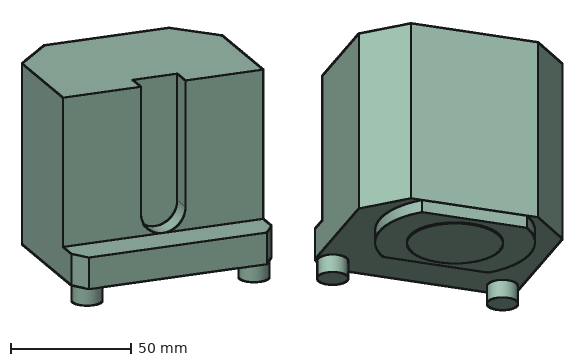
import cadquery as cq

body_length = 78.0
body_width = 90.0
body_height = 80.0
body_back = -24.0
body_front = body_back + body_length

back_corner_cut = 17.0
front_corner_length = 7.0
front_corner_width = 5.0

ledge_depth = 16.0
ledge_height = 14.0
wall_front = body_front - ledge_depth

slot_width = 20.0
slot_depth = 9.0

spigot_diameter = 66.5
spigot_height = 5.5
spigot_width_over_flats = 47.6
face_diameter = 40.0
face_height = 0.5

pin_diameter = 13.0
pin_length = 8.0
pin_x = 46.0
pin_spacing = 75.0


def make_body():
    half_width = body_width / 2
    outline = [
        (body_back, half_width - back_corner_cut),
        (body_back + back_corner_cut, half_width),
        (body_front - front_corner_length, half_width),
        (body_front, half_width - front_corner_width),
        (body_front, front_corner_width - half_width),
        (body_front - front_corner_length, -half_width),
        (body_back + back_corner_cut, -half_width),
        (body_back, back_corner_cut - half_width),
    ]
    return cq.Workplane("XY").polyline(outline).close().extrude(body_height)


def make_step():
    """Material removed above the ledge."""
    return (
        cq.Workplane("XY", origin=(wall_front, 0, ledge_height))
        .rect(ledge_depth, body_width)
        .extrude(body_height - ledge_height)
        .translate((ledge_depth / 2, 0, 0))
    )


def make_slot():
    """Slot open at the top and front, its round bottom touching the ledge level."""
    radius = slot_width / 2
    round_center = ledge_height + radius
    return (
        cq.Workplane("YZ", origin=(wall_front - slot_depth, 0, 0))
        .moveTo(-radius, body_height)
        .lineTo(-radius, round_center)
        .threePointArc((0, ledge_height), (radius, round_center))
        .lineTo(radius, body_height)
        .close()
        .extrude(slot_depth)
    )


def make_spigot():
    disc = cq.Workplane("XY").circle(spigot_diameter / 2).extrude(-spigot_height)
    flats = cq.Workplane("XY").rect(spigot_width_over_flats, spigot_diameter).extrude(-spigot_height)
    raised_face = cq.Workplane("XY").circle(face_diameter / 2).extrude(-spigot_height - face_height)
    return disc.intersect(flats).union(raised_face)


def make_pins():
    centers = [(pin_x, -pin_spacing / 2), (pin_x, pin_spacing / 2)]
    return cq.Workplane("XY").pushPoints(centers).circle(pin_diameter / 2).extrude(-pin_length)


result = make_body().cut(make_step()).cut(make_slot()).union(make_spigot()).union(make_pins())